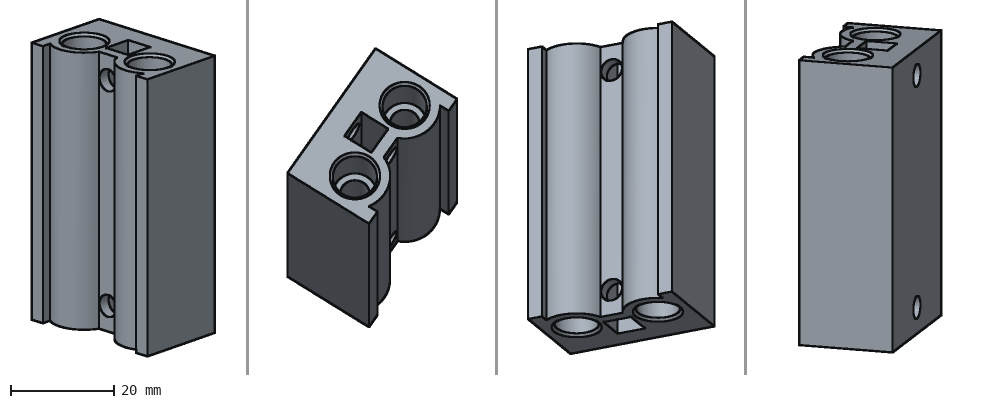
import cadquery as cq
import math

WIDTH = 31.0
DEPTH = 19.0
HEIGHT = 57.0
FRONT_Y = -DEPTH / 2
BACK_Y = DEPTH / 2

CHANNEL_PITCH = 17.5
CHANNEL_X = CHANNEL_PITCH / 2
CHANNEL_DISTANCE_FROM_BACK = 11.25
CHANNEL_Y = BACK_Y - CHANNEL_DISTANCE_FROM_BACK
BARREL_RADIUS = 6.85
CHANNEL_DIAMETER = 5.73

PORT_DIAMETER = 8.57
PORT_DEPTH = 10.0
PORT_MOUTH_DIAMETER = 9.73
PORT_CHAMFER = (PORT_MOUTH_DIAMETER - PORT_DIAMETER) / 2

RAIL_WIDTH = 3.0
RAIL_INNER_X = WIDTH / 2 - RAIL_WIDTH
WEB_FRONT_OFFSET = 2.55
WEB_FRONT_Y = CHANNEL_Y - WEB_FRONT_OFFSET

PASSAGE_WIDTH = 5.9
PASSAGE_BACK_WALL = 5.0
PASSAGE_BACK_Y = BACK_Y - PASSAGE_BACK_WALL
PASSAGE_FRONT_Y = CHANNEL_Y

MOUNT_DIAMETER = 4.5
MOUNT_PITCH = 46.4


def barrel_front_y(x):
    """Y of the barrel surface at a given X, for the barrel on the +X side."""
    return CHANNEL_Y - math.sqrt(BARREL_RADIUS**2 - (x - CHANNEL_X) ** 2)


def make_body():
    half_width = WIDTH / 2
    web_edge_x = CHANNEL_X - math.sqrt(BARREL_RADIUS**2 - WEB_FRONT_OFFSET**2)
    barrel_crown_y = CHANNEL_Y - BARREL_RADIUS
    barrel_end_y = barrel_front_y(RAIL_INNER_X)
    return (
        cq.Workplane("XY")
        .workplane(offset=-HEIGHT / 2)
        .moveTo(-half_width, BACK_Y)
        .lineTo(-half_width, FRONT_Y)
        .lineTo(-RAIL_INNER_X, FRONT_Y)
        .lineTo(-RAIL_INNER_X, barrel_end_y)
        .threePointArc((-CHANNEL_X, barrel_crown_y), (-web_edge_x, WEB_FRONT_Y))
        .lineTo(web_edge_x, WEB_FRONT_Y)
        .threePointArc((CHANNEL_X, barrel_crown_y), (RAIL_INNER_X, barrel_end_y))
        .lineTo(RAIL_INNER_X, FRONT_Y)
        .lineTo(half_width, FRONT_Y)
        .lineTo(half_width, BACK_Y)
        .close()
        .extrude(HEIGHT)
    )


def make_channel_cutter(x):
    """Through channel with a chamfered port at each end, as a revolved half profile."""
    end_z = HEIGHT / 2
    port_floor_z = end_z - PORT_DEPTH
    chamfer_z = end_z - PORT_CHAMFER
    mouth_radius = PORT_MOUTH_DIAMETER / 2
    port_radius = PORT_DIAMETER / 2
    channel_radius = CHANNEL_DIAMETER / 2
    upper_half = (
        cq.Workplane("XZ")
        .polyline([
            (0, 0),
            (channel_radius, 0),
            (channel_radius, port_floor_z),
            (port_radius, port_floor_z),
            (port_radius, chamfer_z),
            (mouth_radius, end_z),
            (0, end_z),
        ])
        .close()
        .revolve(360, (0, 0, 0), (0, 1, 0))
    )
    lower_half = upper_half.mirror("XY")
    return upper_half.union(lower_half).translate((x, CHANNEL_Y, 0))


def make_passage_cutter():
    passage_depth = PASSAGE_BACK_Y - PASSAGE_FRONT_Y
    passage_centre_y = (PASSAGE_BACK_Y + PASSAGE_FRONT_Y) / 2
    return cq.Workplane("XY").box(PASSAGE_WIDTH, passage_depth, HEIGHT).translate((0, passage_centre_y, 0))


def make_mount_hole_cutter():
    return (
        cq.Workplane("XZ")
        .pushPoints([(0, -MOUNT_PITCH / 2), (0, MOUNT_PITCH / 2)])
        .circle(MOUNT_DIAMETER / 2)
        .extrude(DEPTH / 2, both=True)
    )


result = make_body()
for channel_x in (-CHANNEL_X, CHANNEL_X):
    result = result.cut(make_channel_cutter(channel_x))
result = result.cut(make_passage_cutter())
result = result.cut(make_mount_hole_cutter())